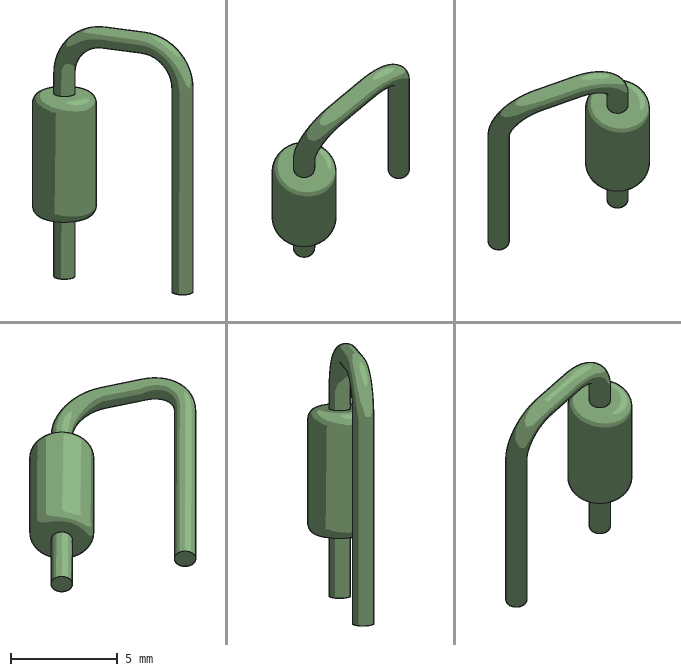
import cadquery as cq

total_height = 12.5
lead_diameter = 1.0
lead_spacing = 6.0
bend_radius = 2.0

body_diameter = 3.0
body_length = 6.0
body_bottom = 3.0
body_edge_radius = 0.5

lead_radius = lead_diameter / 2
bridge_height = total_height - lead_radius
bend_start = bridge_height - bend_radius


def make_lead():
    """Round wire bent into an upside-down U with two equal legs."""
    centre_line = (
        cq.Workplane("XZ")
        .lineTo(0, bend_start)
        .tangentArcPoint((bend_radius, bridge_height), relative=False)
        .lineTo(lead_spacing - bend_radius, bridge_height)
        .tangentArcPoint((lead_spacing, bend_start), relative=False)
        .lineTo(lead_spacing, 0)
    )
    return cq.Workplane("XY").circle(lead_radius).sweep(centre_line)


def make_body():
    """Cylinder with both end edges rounded."""
    return (
        cq.Workplane("XY")
        .workplane(offset=body_bottom)
        .circle(body_diameter / 2)
        .extrude(body_length)
        .faces("<Z or >Z")
        .edges()
        .fillet(body_edge_radius)
    )


result = make_body().union(make_lead())